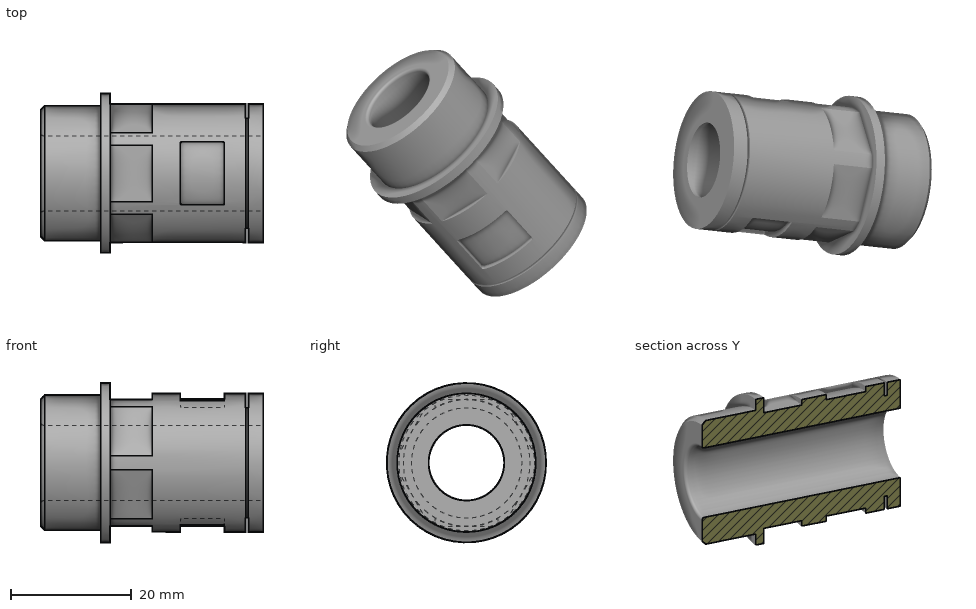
import cadquery as cq
import math

total_length = 37.0
flange_start = 10.0
flange_end = 11.55
flats_end = 18.55
groove_start = 34.05
groove_end = 34.5

spigot_diameter = 22.5
flange_diameter = 26.5
body_diameter = 23.0
groove_diameter = 18.3
bore_diameter = 12.5

spigot_chamfer = 0.75
bore_entry_radius = 0.5

flat_count = 6
across_flats = 21.0

pocket_start = 23.2
pocket_length = 7.33
pocket_width = 10.45
pocket_corner_radius = 0.3
pocket_floor_diameter = 21.15


def cylinder(diameter, start, end):
    return cq.Workplane("YZ", origin=(start, 0, 0)).circle(diameter / 2).extrude(end - start)


def wrench_flat_cutter():
    """Ring around a hexagonal prism, with flats facing +Z and -Z."""
    hexagon_diameter = across_flats / math.cos(math.pi / flat_count)
    return (
        cq.Workplane("YZ", origin=(flange_end, 0, 0))
        .circle(flange_diameter / 2)
        .polygon(flat_count, hexagon_diameter)
        .extrude(flats_end - flange_end)
    )


def pocket_cutter():
    """Rounded block through both sides, leaving the core inside the pocket floors."""
    pocket_end = pocket_start + pocket_length
    block = (
        cq.Workplane("XY")
        .center(pocket_start + pocket_length / 2, 0)
        .rect(pocket_length, pocket_width)
        .extrude(body_diameter / 2, both=True)
        .edges("|Z")
        .fillet(pocket_corner_radius)
    )
    return block.cut(cylinder(pocket_floor_diameter, pocket_start, pocket_end))


body = cylinder(body_diameter, flange_end, groove_start)
body = body.cut(wrench_flat_cutter()).cut(pocket_cutter())

spigot = cylinder(spigot_diameter, 0, flange_start).faces("<X").chamfer(spigot_chamfer)
flange = cylinder(flange_diameter, flange_start, flange_end)
groove_core = cylinder(groove_diameter, groove_start, groove_end)
end_ring = cylinder(body_diameter, groove_end, total_length)
solid = spigot.union(flange).union(body).union(groove_core).union(end_ring)

bored = solid.cut(cylinder(bore_diameter, 0, total_length))
bore_entry = bored.faces("<X").edges(cq.selectors.RadiusNthSelector(0))
result = bore_entry.fillet(bore_entry_radius)